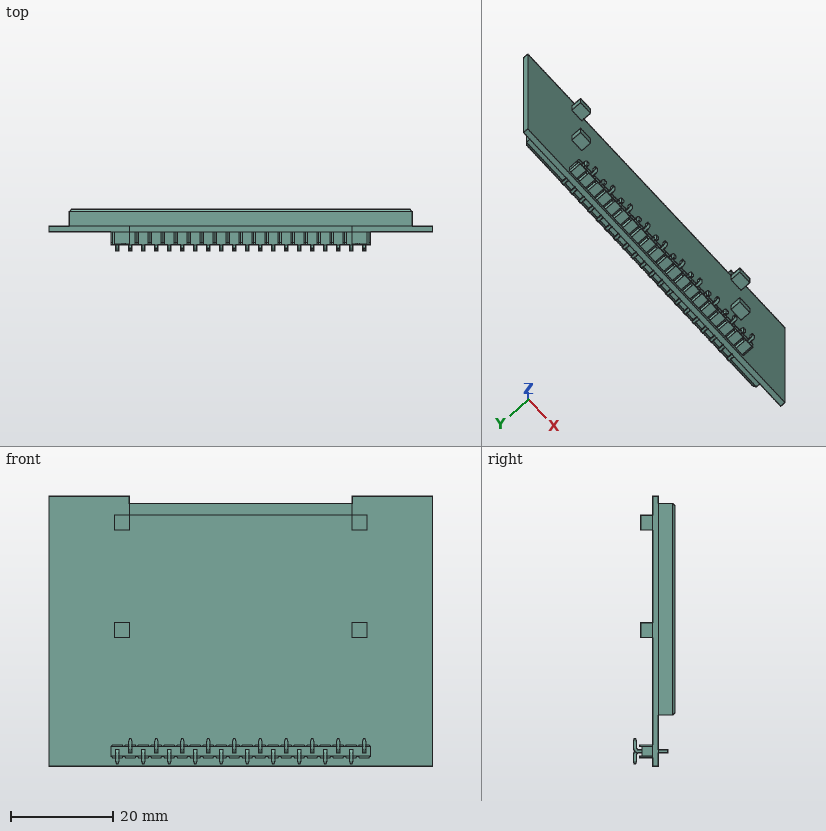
import cadquery as cq

OVERALL_DEPTH = 8.2

BOARD_WIDTH = 75.0
BOARD_HEIGHT = 52.8
BOARD_THICKNESS = 1.1
NOTCH_WIDTH = 43.5
NOTCH_DEPTH = 3.75

STANDOFF_SIDE = 2.9
STANDOFF_HEIGHT = 2.3
STANDOFF_ROW_SPACING = 21.0

SCREEN_WIDTH = 67.05
SCREEN_HEIGHT = 41.4
SCREEN_THICKNESS = 3.3
SCREEN_TOP_MARGIN = 1.4
SCREEN_CHAMFER = 0.49

PIN_COUNT = 20
HEADER_LENGTH = 50.8
HEADER_Z = 2.9
PIN_WIDTH = 0.64
PIN_BEND_RADIUS = 0.71
PIN_BACK_LENGTH = 3.0
PIN_TIP_RISE = 2.5
PIN_TIP_LENGTH = 0.5
PIN_TIP_WIDTH = 0.3
HEADER_CHAMFER = 0.4
CHANNEL_DEPTH = 0.45

pitch = HEADER_LENGTH / PIN_COUNT
channel_height = pitch - 2 * HEADER_CHAMFER
screen_back_y = BOARD_THICKNESS + SCREEN_THICKNESS
pin_front_y = screen_back_y - OVERALL_DEPTH
pin_leg_y = pin_front_y + PIN_WIDTH / 2
pin_x_positions = [(i - (PIN_COUNT - 1) / 2) * pitch for i in range(PIN_COUNT)]


def box(width, depth, height, x, y, z):
    """Box centred on x, starting at y and z."""
    return cq.Workplane("XY").box(width, depth, height, centered=(True, False, False)).translate((x, y, z))


def make_board():
    """Plate with a notch in its top edge, four standoffs and one square hole for each pin."""
    board = box(BOARD_WIDTH, BOARD_THICKNESS, BOARD_HEIGHT, 0, 0, 0)
    notch_floor_z = BOARD_HEIGHT - NOTCH_DEPTH
    board = board.cut(box(NOTCH_WIDTH, BOARD_THICKNESS, NOTCH_DEPTH, 0, 0, notch_floor_z))
    standoff_x = (NOTCH_WIDTH + STANDOFF_SIDE) / 2
    upper_standoff_z = notch_floor_z - STANDOFF_SIDE
    for x in (-standoff_x, standoff_x):
        for z in (upper_standoff_z, upper_standoff_z - STANDOFF_ROW_SPACING):
            board = board.union(box(STANDOFF_SIDE, STANDOFF_HEIGHT, STANDOFF_SIDE, x, -STANDOFF_HEIGHT, z))
    for x in pin_x_positions:
        board = board.cut(box(PIN_WIDTH, BOARD_THICKNESS, PIN_WIDTH, x, 0, HEADER_Z - PIN_WIDTH / 2))
    return board


def make_screen():
    """Flat block with the four edges of its outer face chamfered."""
    bottom_z = BOARD_HEIGHT - SCREEN_TOP_MARGIN - SCREEN_HEIGHT
    screen = box(SCREEN_WIDTH, SCREEN_THICKNESS, SCREEN_HEIGHT, 0, BOARD_THICKNESS, bottom_z)
    return screen.faces(">Y").edges().chamfer(SCREEN_CHAMFER)


def make_header_block():
    """Row of octagonal cells with a channel along the face where the pins come out."""
    cell = box(pitch, pitch, pitch, 0, -pitch, HEADER_Z - pitch / 2).edges("|Y").chamfer(HEADER_CHAMFER)
    block = cell.translate((pin_x_positions[0], 0, 0))
    for x in pin_x_positions[1:]:
        block = block.union(cell.translate((x, 0, 0)))
    channel = box(HEADER_LENGTH, CHANNEL_DEPTH, channel_height, 0, -pitch, HEADER_Z - channel_height / 2)
    return block.cut(channel)


def make_pin(x, direction):
    """Square pin that leaves the block along -Y, bends to +Z or -Z and ends in a tapered tip."""
    shoulder_z = HEADER_Z + direction * (PIN_TIP_RISE - PIN_TIP_LENGTH)
    bend_end = (pin_leg_y, HEADER_Z + direction * PIN_BEND_RADIUS)
    path = (
        cq.Workplane("YZ", origin=(x, 0, 0))
        .moveTo(PIN_BACK_LENGTH, HEADER_Z)
        .lineTo(pin_leg_y + PIN_BEND_RADIUS, HEADER_Z)
        .tangentArcPoint(bend_end, relative=False)
        .lineTo(pin_leg_y, shoulder_z)
    )
    shank = (
        cq.Workplane("XZ", origin=(x, PIN_BACK_LENGTH, HEADER_Z))
        .rect(PIN_WIDTH, PIN_WIDTH)
        .sweep(path)
    )
    tip = (
        cq.Workplane("XY", origin=(x, pin_leg_y, shoulder_z))
        .rect(PIN_WIDTH, PIN_WIDTH)
        .workplane(offset=direction * PIN_TIP_LENGTH)
        .rect(PIN_TIP_WIDTH, PIN_TIP_WIDTH)
        .loft(ruled=True)
    )
    return shank.union(tip)


def make_header():
    """Block and its pins in one solid; the first pin points down, the next up, and so on."""
    header = make_header_block()
    for i, x in enumerate(pin_x_positions):
        direction = -1 if i % 2 == 0 else 1
        header = header.union(make_pin(x, direction))
    return header


board = make_board()
screen = make_screen()
header = make_header()

result = cq.Compound.makeCompound([body.solids().val() for body in (board, screen, header)])